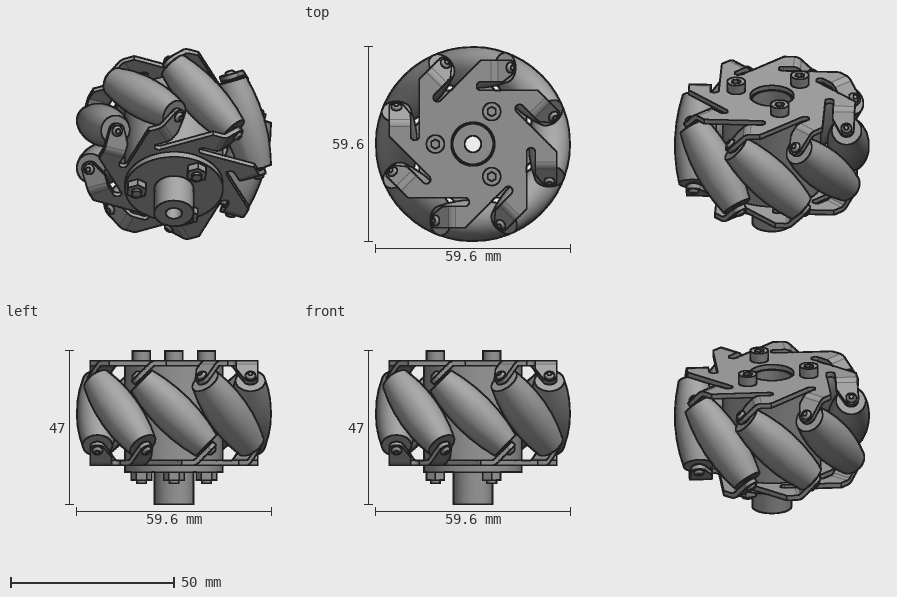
import cadquery as cq
import math


roller_count = 8
wheel_radius = 29.8
axle_radius = 23.4
roller_belly_radius = wheel_radius - axle_radius
roller_end_radius = 4.5
roller_half_length = 14.0
pin_diameter = 3.0

plate_half_height = 16.0
plate_thickness = 1.55
core_apothem = 16.45
arm_outer = 25.65
slot_width = 2.6
arm_inner = core_apothem + slot_width
slot_centre_x = 2.45
bend_start = 5.5
bend_angle = 45
bend_radius = 3.05
tab_end_radius = arm_outer - axle_radius
tab_taper_angle = math.radians(30)

hub_diameter = 30.0
flange_thickness = 2.0
shaft_diameter = 12.0
shaft_length = 9.9
shaft_bore = 5.0
hub_bore = 12.4
rim_bore = 13.4
rim_depth = 1.55

screw_count = 3
screw_circle_radius = 11.5
head_diameter = 5.5
head_height = 3.05
head_socket_flats = 2.5
head_socket_depth = 1.5
nut_flats = 5.5
nut_height = 2.45
stud_diameter = 3.0
stud_tip = 1.0

button_diameter = 3.2
button_height = 1.0
button_flat_radius = 0.7
button_shoulder_radius = 1.35
button_shoulder_height = 0.6

half_root = math.sqrt(0.5)
bend_centre_z = plate_half_height - bend_radius
tab_distance = (bend_start + bend_centre_z) * half_root + bend_radius
tab_start = (bend_start - bend_centre_z) * half_root

flange_top = -plate_half_height
flange_bottom = flange_top - flange_thickness
nut_bottom = flange_bottom - nut_height


def axle_plane(distance):
    """Plane square to the roller axis: local x runs down the tab, local y is radial."""
    offset = distance * half_root
    return cq.Plane(origin=(offset, axle_radius, offset), xDir=(1, 0, -1), normal=(1, 0, 1))


def ring_of(body):
    """Repeat a body once per roller around the wheel axis."""
    ring = body
    for i in range(1, roller_count):
        ring = ring.union(body.rotate((0, 0, 0), (0, 0, 1), i * 360 / roller_count))
    return ring


def hexagon(plane, flats, height):
    """Hexagonal prism with corners on the local y axis."""
    corner_diameter = flats / math.cos(math.pi / 6)
    return cq.Workplane(plane).transformed(rotate=(0, 0, 90)).polygon(6, corner_diameter).extrude(height)


def level(z):
    """Horizontal plane at height z."""
    return cq.Plane(origin=(0, 0, z))


def plate_core():
    """Octagonal middle of the upper plate."""
    core = cq.Workplane(level(plate_half_height - plate_thickness))
    corner_diameter = 2 * core_apothem / math.cos(math.pi / roller_count)
    core = core.polygon(roller_count, corner_diameter).extrude(plate_thickness)
    return core.rotate((0, 0, 0), (0, 0, 1), 180 / roller_count)


def arm_flat():
    """Flat part of an arm; its sloping edge continues the neighbouring side of the core."""
    core_corner = core_apothem * math.tan(math.pi / roller_count)
    outer_corner = arm_outer - core_apothem * math.sqrt(2)
    slot_middle = core_apothem + slot_width / 2
    return (
        cq.Workplane(level(plate_half_height - plate_thickness))
        .moveTo(-core_corner, core_apothem)
        .lineTo(outer_corner, arm_outer)
        .lineTo(bend_start, arm_outer)
        .lineTo(bend_start, arm_inner)
        .lineTo(slot_centre_x, arm_inner)
        .threePointArc((slot_centre_x - slot_width / 2, slot_middle), (slot_centre_x, core_apothem))
        .close()
        .extrude(plate_thickness)
    )


def arm_bend():
    """Bend of 45 degrees between the flat arm and its tab."""

    def on_bend(radius, degrees):
        angle = math.radians(degrees)
        return (bend_start + radius * math.sin(angle), bend_centre_z + radius * math.cos(angle))

    inner_radius = bend_radius - plate_thickness
    profile = cq.Workplane(cq.Plane(origin=(0, arm_outer, 0), xDir=(1, 0, 0), normal=(0, -1, 0)))
    return (
        profile.moveTo(*on_bend(bend_radius, 0))
        .threePointArc(on_bend(bend_radius, bend_angle / 2), on_bend(bend_radius, bend_angle))
        .lineTo(*on_bend(inner_radius, bend_angle))
        .threePointArc(on_bend(inner_radius, bend_angle / 2), on_bend(inner_radius, 0))
        .close()
        .extrude(arm_outer - arm_inner)
    )


def arm_tab():
    """Tab with a round end about the pin, tapered on its inner edge."""
    inner_edge = arm_inner - axle_radius
    sin_taper = math.sin(tab_taper_angle)
    cos_taper = math.cos(tab_taper_angle)
    taper_end = (tab_end_radius * sin_taper, -tab_end_radius * cos_taper)
    taper_start = taper_end[0] + (inner_edge - taper_end[1]) * cos_taper / sin_taper
    return (
        cq.Workplane(axle_plane(tab_distance))
        .moveTo(tab_start, tab_end_radius)
        .lineTo(0, tab_end_radius)
        .threePointArc((tab_end_radius * cos_taper, tab_end_radius * sin_taper), taper_end)
        .lineTo(taper_start, inner_edge)
        .lineTo(tab_start, inner_edge)
        .close()
        .extrude(-plate_thickness)
    )


def button_head():
    """Domed head with a small flat top, seated on the outer face of the tab."""
    return (
        cq.Workplane(axle_plane(tab_distance).rotated((90, 0, 0)))
        .lineTo(button_diameter / 2, 0)
        .threePointArc((button_shoulder_radius, button_shoulder_height), (button_flat_radius, button_height))
        .lineTo(0, button_height)
        .close()
        .revolve(360, (0, 0, 0), (0, 1, 0))
    )


def plate():
    """Upper plate with the button heads that sit on its tabs."""
    arm = arm_flat().union(arm_bend()).union(arm_tab()).union(button_head())
    return plate_core().union(ring_of(arm))


def roller():
    """Barrel roller and its pin, which reaches into the tabs at both ends."""
    barrel = (
        cq.Workplane(axle_plane(0).rotated((90, 0, 0)))
        .moveTo(0, -roller_half_length)
        .lineTo(roller_end_radius, -roller_half_length)
        .threePointArc((roller_belly_radius, 0), (roller_end_radius, roller_half_length))
        .lineTo(0, roller_half_length)
        .close()
        .revolve(360, (0, 0, 0), (0, 1, 0))
    )
    pin = cq.Workplane(axle_plane(0)).circle(pin_diameter / 2).extrude(tab_distance, both=True)
    return barrel.union(pin)


def cylinder(diameter, bottom, top):
    """Cylinder on the wheel axis."""
    return cq.Workplane(level(bottom)).circle(diameter / 2).extrude(top - bottom)


def clamping_screw():
    """Socket head above the upper plate, with the nut and stud end below the flange."""
    head_top = plate_half_height + head_height
    screw = cylinder(head_diameter, plate_half_height, head_top)
    screw = screw.cut(hexagon(level(head_top), head_socket_flats, -head_socket_depth))
    nut = hexagon(level(nut_bottom), nut_flats, nut_height)
    stud = cylinder(stud_diameter, nut_bottom - stud_tip, flange_bottom)
    return screw.union(nut).union(stud)


upper_plate = plate()
lower_plate = upper_plate.rotate((0, 0, 0), (0, 1, 0), 180)

shaft_bottom = flange_bottom - shaft_length
result = cylinder(hub_diameter, flange_bottom, plate_half_height)
result = result.union(upper_plate).union(lower_plate)
result = result.union(cylinder(shaft_diameter, shaft_bottom, flange_bottom))
result = result.cut(cylinder(hub_bore, flange_top, plate_half_height))
result = result.cut(cylinder(rim_bore, plate_half_height - rim_depth, plate_half_height))
result = result.cut(cylinder(shaft_bore, shaft_bottom, flange_top))

result = result.union(ring_of(roller()))

for i in range(screw_count):
    screw_angle = math.pi + i * 2 * math.pi / screw_count
    screw_x = screw_circle_radius * math.cos(screw_angle)
    screw_y = screw_circle_radius * math.sin(screw_angle)
    result = result.union(clamping_screw().translate((screw_x, screw_y, 0)))